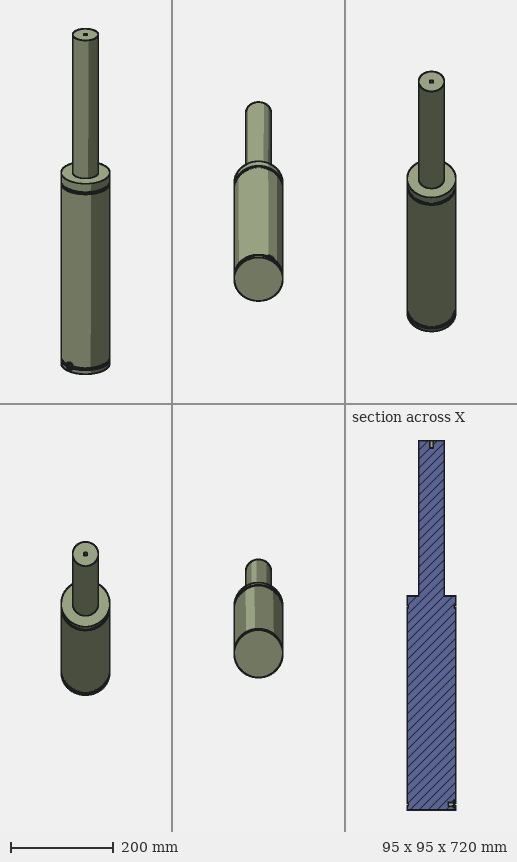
import cadquery as cq

total_height = 720
body_diameter = 95.0
body_height = 417.5
rod_diameter = 50.5
rod_chamfer = 0.35

groove_width = 4.0
groove_depth = 2.0
lower_groove_base = 9.0
upper_groove_base = 394.0

rod_hole_diameter = 6.8
rod_hole_depth = 14.5

port_height = 11.5
port_mouth_diameter = 16.0
port_mouth_depth = 2.0
port_bore_diameter = 14.0
port_bore_depth = 4.0
port_passage_diameter = 6.8
port_passage_depth = 14.5


def cylinder(diameter, base, height):
    """Upright cylinder on the main axis."""
    return cq.Workplane("XY").workplane(offset=base).circle(diameter / 2).extrude(height)


def groove_ring(base):
    """Ring of material to remove for one groove."""
    core_diameter = body_diameter - 2 * groove_depth
    return cylinder(body_diameter, base, groove_width).cut(cylinder(core_diameter, base, groove_width))


def port_cutter(diameter, depth):
    """Radial cylinder reaching inward from the front (-Y) of the body."""
    plane = cq.Workplane("XZ", origin=(0, -body_diameter / 2, port_height))
    return plane.circle(diameter / 2).extrude(-depth)


result = cylinder(body_diameter, 0, body_height)
rod = cylinder(rod_diameter, body_height, total_height - body_height)
rod = rod.faces(">Z").edges().chamfer(rod_chamfer)
result = result.union(rod)

for groove_base in (lower_groove_base, upper_groove_base):
    result = result.cut(groove_ring(groove_base))

result = result.cut(cylinder(rod_hole_diameter, total_height - rod_hole_depth, rod_hole_depth))

result = result.cut(port_cutter(port_mouth_diameter, port_mouth_depth))
result = result.cut(port_cutter(port_bore_diameter, port_bore_depth))
result = result.cut(port_cutter(port_passage_diameter, port_passage_depth))